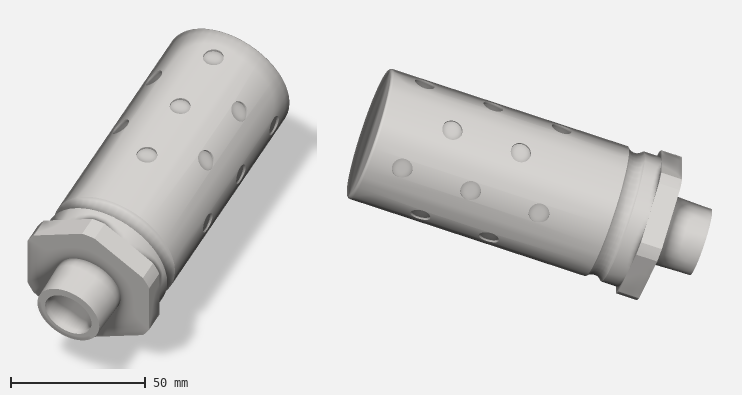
import cadquery as cq
import math

length = 130.5
body_diameter = 50.8
body_radius = body_diameter / 2
end_rounding = 1.0

stub_length = 16.2
stub_tip_radius = 12.9
stub_root_radius = 13.5
bore_radius = 9.7
bore_depth = stub_length

nut_thickness = 8.2
nut_across_flats = body_diameter
nut_corner_radius = 28.0

collar_length = 6.4
groove_width = 6.3
groove_depth = 1.6

hole_diameter = 7.7
hole_depth = 1.0
hole_pitch = 26.9
end_hole_inset = 13.2
column_count = 8

nut_end = stub_length + nut_thickness
groove_start = nut_end + collar_length
groove_end = groove_start + groove_width


def make_body():
    """Revolve the collar, groove and long cylinder as one profile."""
    groove_middle = groove_start + groove_width / 2
    groove_floor = body_radius - groove_depth
    profile = (
        cq.Workplane("XY")
        .moveTo(0, nut_end)
        .lineTo(body_radius, nut_end)
        .lineTo(body_radius, groove_start)
        .threePointArc((groove_floor, groove_middle), (body_radius, groove_end))
        .lineTo(body_radius, length - end_rounding)
        .radiusArc((body_radius - end_rounding, length), -end_rounding)
        .lineTo(0, length)
        .close()
    )
    return profile.revolve(360, (0, 0, 0), (0, 1, 0))


def make_nut():
    """Hexagon with flats facing +X and -X, its corners turned to a circle."""
    across_corners = nut_across_flats / math.cos(math.radians(30))
    nut_plane = cq.Workplane("XZ", origin=(0, nut_end, 0))
    hexagon = nut_plane.transformed(rotate=(0, 0, 90)).polygon(6, across_corners).extrude(nut_thickness)
    return hexagon.intersect(nut_plane.circle(nut_corner_radius).extrude(nut_thickness))


def make_stub():
    """Cone frustum that widens toward the nut."""
    profile = (
        cq.Workplane("XY")
        .lineTo(stub_tip_radius, 0)
        .lineTo(stub_root_radius, stub_length)
        .lineTo(0, stub_length)
        .close()
    )
    return profile.revolve(360, (0, 0, 0), (0, 1, 0))


def make_recess(y, angle):
    """Flat-bottomed radial recess cutter, turned about the Y axis from +Z."""
    floor = cq.Workplane("XY", origin=(0, y, body_radius - hole_depth))
    cutter = floor.circle(hole_diameter / 2).extrude(2 * hole_depth)
    return cutter.rotate((0, 0, 0), (0, 1, 0), angle)


result = make_body().union(make_nut()).union(make_stub())

bore = cq.Workplane("XZ", origin=(0, bore_depth, 0)).circle(bore_radius).extrude(bore_depth)
result = result.cut(bore)

for column in range(column_count):
    is_offset = column % 2 == 1
    row_count = 2 if is_offset else 3
    first_inset = end_hole_inset + (hole_pitch / 2 if is_offset else 0)
    for row in range(row_count):
        hole_y = length - first_inset - row * hole_pitch
        result = result.cut(make_recess(hole_y, column * 360 / column_count))